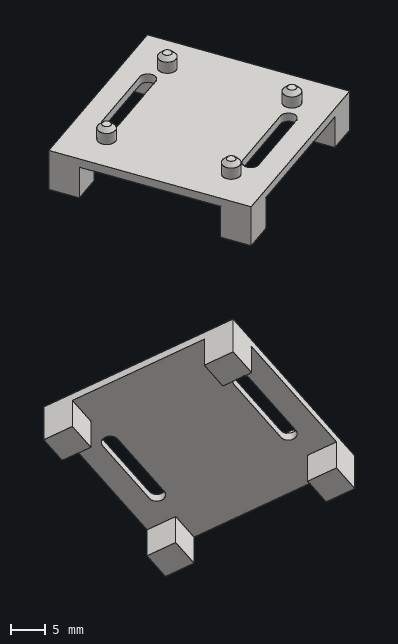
import cadquery as cq

side = 33.02
total_height = 9.7
deck_top = 7.0
deck_thickness = 1.5
leg_side = 5.02

pin_spacing = 20.3
pin_diameter = 2.9
pin_tip_diameter = 1.45
pin_tip_height = 0.73

slot_spacing = 22.9
slot_length = 15.2
slot_width = 2.58

leg_height = deck_top - deck_thickness
pin_height = total_height - deck_top


def make_deck():
    """Square plate carried by the legs."""
    return cq.Workplane("XY").workplane(offset=leg_height).rect(side, side).extrude(deck_thickness)


def make_legs():
    """Square leg flush with each corner of the plate, standing on Z = 0."""
    leg_spacing = side - leg_side
    return (
        cq.Workplane("XY")
        .rarray(leg_spacing, leg_spacing, 2, 2)
        .rect(leg_side, leg_side)
        .extrude(deck_top)
    )


def make_pins():
    """Four upright pins with conical, flat-ended tips."""
    tip_inset = (pin_diameter - pin_tip_diameter) / 2
    return (
        cq.Workplane("XY")
        .workplane(offset=deck_top)
        .rarray(pin_spacing, pin_spacing, 2, 2)
        .circle(pin_diameter / 2)
        .extrude(pin_height)
        .faces(">Z")
        .chamfer(pin_tip_height, tip_inset)
    )


def make_slots():
    """Pair of round-ended slots through the plate, running along Y."""
    return (
        cq.Workplane("XY")
        .workplane(offset=leg_height)
        .rarray(slot_spacing, 0.33, 2, 1)
        .slot2D(slot_length, slot_width, 90)
        .extrude(deck_thickness)
    )


result = make_deck().union(make_legs()).union(make_pins()).cut(make_slots())